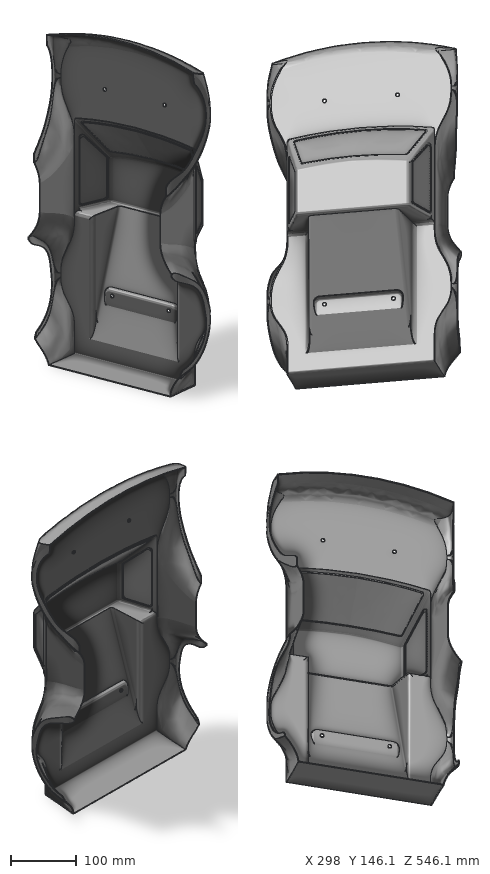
import cadquery as cq
import math

wall = 1.6
length = 546.1
overall_width = 297.91
roof_height = 57.15
sill_depth = 88.9
nose_depth = 38.1
tail_depth = 64.5
tail_edge_radius = 3.0
body_half_width = 115.9
lip_half_width = overall_width / 2
lip_top_depth = 9.0
deck_lip_half_width = 142.0
rear_lip_slope = 0.145
front_lip_slope = 0.28
hole_diameter = 5.71

body_stations = [
    (0.0, 46, 120, 126, 219, 348, 444, 450),
    (lip_top_depth, 14, 98, 140, 226, 335, 428, 468),
    (18.4, 9, 74, 163, 231, 327, 401, 496),
    (nose_depth, 1, 52, 186, 239, 316, 371, 522),
    (62.0, -7, 42, 201, 247, 307, 350, 542),
    (sill_depth, -16, 34, 211, 257, 303, 335, 558),
]
nose_radius = 480.0
nose_edge = (0.0, 517.0)
nose_shoulder = (-4.4, 531.0)
nose_crease = (-18.4, 540.5)
nose_lip = (-nose_depth, length)
nose_reach = 6.0
nose_corner_width = 17.0
nose_corner_rise = 52.0
below_tail = -30.0
above_nose = 610.0

front_arch = [(-85, 353.6), (-58.7, 368.4), (-35.6, 393.1), (-17.5, 429.3),
              (-15, 449), (-21.7, 483.6), (-36.5, 506.6)]
front_arch_tip = 349.0
front_arch_end = [(-nose_depth, 516.5), (-nose_depth, 2 * length)]
rear_arch = [(-85, 202.5), (-50.4, 184.2), (-30, 167.7), (-18.1, 134.8), (-15.2, 110),
             (-19.9, 87.3), (-40.9, 60.8), (-64.8, 48.9)]
rear_arch_tip = 207.5
rear_arch_end = [(-69.4, 43.0), (-69.4, 32.0), (-tail_depth, 0), (-tail_depth, -wall)]

cab_ledge = 0.5
cab_base = (body_half_width - cab_ledge, 231.0, 384.0, 394.0)
cab_roof = (88.0, 235.0, 310.0, 318.0)
cab_edge_radius = 6.0

window_depth = 1.5
window_corner = 4.0
side_window_corners = [(7, 242), (7, 358), (48, 311), (48, 245)]
screen_bottom = (82.0, 324.5)
screen_bottom_centre = 329.0
screen_top = (104.0, 379.0)
screen_top_centre = 388.0

hood_half_width = 81.0
hood_top_half_width = 70.0
hood_start = 31.0
hood_end = 240.0
hood_rise = 0.261
hood_edge_radius = 6.0
foot_reach = 7.0

pad_half_width = 69.0
pad_start = 86.3
pad_end = 113.5
pad_corner = 9.0
pad_floor_radius = 4.0
pad_hole_x = 54.0
pad_hole_z = 103.6
deck_hole_x = 57.15
deck_hole_z = 443.0


def between(start, end, share):
    return tuple(p + share * (q - p) for p, q in zip(start, end))


def flare_curve(door, lip, at_deck):
    """Control points of the curve that leaves the door upright and runs out to the wheel arch lip."""
    middle_z = (door[1] + lip[1]) / 2
    door_pull = (door[0], middle_z)
    if at_deck:
        return [door, door_pull, (lip[0], middle_z), lip]
    return [door, between(door, door_pull, 2 / 3), between(lip, door_pull, 2 / 3), lip]


def body_section(station, inset):
    """Closed half outline (x >= 0) of the body at one depth, moved in by inset."""
    depth = station[0]
    rear_start, rear_lip_start, rear_lip_end, rear_end = station[1:5]
    front_start, front_lip_start, front_lip_end = station[5:]
    at_deck = depth == 0
    y = -inset if at_deck else -depth
    door = body_half_width - inset
    drop = depth - lip_top_depth
    rear_lip = (deck_lip_half_width if at_deck else lip_half_width - rear_lip_slope * drop) - inset
    front_lip = (deck_lip_half_width if at_deck else lip_half_width - front_lip_slope * drop) - inset
    rear_out = flare_curve((door, rear_start), (rear_lip, rear_lip_start), at_deck)
    rear_back = flare_curve((door, rear_end), (rear_lip, rear_lip_end), at_deck)
    front_out = flare_curve((door, front_start), (front_lip, front_lip_start), at_deck)
    corner = (front_lip - nose_corner_width, front_lip_end + nose_corner_rise)
    corner_pull = (front_lip, front_lip_end + nose_corner_rise / 2)
    return (
        cq.Workplane("XZ", origin=(0, y, 0))
        .moveTo(0, below_tail)
        .lineTo(door, below_tail)
        .lineTo(*rear_out[0])
        .bezier(rear_out[1:], includeCurrent=True)
        .lineTo(*rear_back[-1])
        .bezier(rear_back[-2::-1], includeCurrent=True)
        .lineTo(*front_out[0])
        .bezier(front_out[1:], includeCurrent=True)
        .lineTo(front_lip, front_lip_end)
        .bezier([corner_pull, corner], includeCurrent=True)
        .lineTo(0, above_nose)
        .close()
        .wire()
        .val()
    )


def nose_cap(inset):
    """Everything behind the curved nose."""
    edge, shoulder, crease, lip = [(y - inset, z - inset) for y, z in
                                   (nose_edge, nose_shoulder, nose_crease, nose_lip)]
    low = between(crease, lip, nose_reach)
    axis_z = length - nose_radius
    return (
        cq.Workplane("YZ")
        .moveTo(sill_depth, axis_z)
        .lineTo(sill_depth, edge[1])
        .lineTo(*edge)
        .spline([shoulder, crease], includeCurrent=True)
        .lineTo(*low)
        .lineTo(low[0], axis_z)
        .close()
        .revolve(360, (0, axis_z), (1, axis_z))
    )


def both_sides(half):
    return half.union(half.mirror("YZ"))


def below_deck(inset):
    """Level just under the deck plane, so that cab and hood overlap the body."""
    return -inset - wall / 2


def body_solid(inset):
    """Wings, doors, nose and tail below the deck."""
    sections = [body_section(station, inset) for station in body_stations]
    half = cq.Workplane(cq.Solid.makeLoft(sections, False))
    above_tail = (
        cq.Workplane("XY", origin=(0, 0, inset)).rect(2 * overall_width, 4 * sill_depth).extrude(2 * length)
    )
    body = both_sides(half.intersect(above_tail).intersect(nose_cap(inset)))
    return body.faces(">Y").edges("<Z").fillet(tail_edge_radius - inset)


def cab_walls(y, inset):
    """Side x, rear z, windscreen side z and centre z at height y; the walls lean straight to the roof."""
    lean = [(top - bottom) / roof_height for bottom, top in zip(cab_base, cab_roof)]
    into_cab = (-1, 1, -1, -1)
    return [
        bottom + slope * y + sign * inset * math.hypot(1, slope)
        for bottom, slope, sign in zip(cab_base, lean, into_cab)
    ]


def cab_section(y, inset):
    """Half outline (x >= 0) of the cab at height y."""
    side, rear, screen_side, screen_centre = cab_walls(y, inset)
    bow = screen_centre - screen_side
    return (
        cq.Workplane("XZ", origin=(0, y, 0))
        .moveTo(0, rear)
        .lineTo(side, rear)
        .lineTo(side, screen_side)
        .threePointArc((side / 2, screen_centre - bow / 4), (0, screen_centre))
        .close()
        .wire()
        .val()
    )


def is_cab_corner(edge, foot):
    """True for the roof outline and the four leaning corners, not for the foot or a centre seam."""
    lowest, highest = edge.BoundingBox().ymin, edge.BoundingBox().ymax
    at_foot = highest < foot + wall
    on_centre_line = abs(edge.Center().x) < wall and highest - lowest > wall
    return not (at_foot or on_centre_line)


def plain_cab(inset):
    """Cab with rounded corners, without its windows."""
    foot = below_deck(inset)
    sections = [cab_section(foot, inset), cab_section(roof_height - inset, inset)]
    cab = both_sides(cq.Workplane(cq.Solid.makeLoft(sections, True)))
    corner_edges = cab.edges().filter(lambda edge: is_cab_corner(edge, foot))
    return corner_edges.fillet(cab_edge_radius - inset)


def window_tools(margin):
    """Straight-walled plugs over the windscreen and through both side windows."""
    side_window = (
        cq.Workplane("YZ")
        .polyline(side_window_corners)
        .close()
        .offset2D(margin - window_corner)
        .offset2D(window_corner)
        .extrude(overall_width, both=True)
    )
    (bottom_x, bottom_z), bottom_centre = screen_bottom, (0, screen_bottom_centre)
    (top_x, top_z), top_centre = screen_top, (0, screen_top_centre)
    screen = (
        cq.Workplane("XZ", origin=(0, window_depth, 0))
        .moveTo(-bottom_x, bottom_z)
        .threePointArc(bottom_centre, screen_bottom)
        .lineTo(*screen_top)
        .threePointArc(top_centre, (-top_x, top_z))
        .close()
        .offset2D(margin - window_corner)
        .offset2D(window_corner)
        .extrude(-2 * roof_height)
    )
    return [side_window, screen]


def rear_foot(inset):
    """Hollow curve between the deck and the foot of the cab's rear wall, ending flush with the cab sides."""
    deck = -inset
    foot_top = deck + foot_reach
    side_at_deck, rear_at_deck = cab_walls(deck, inset)[:2]
    side_at_top, rear_at_top = cab_walls(foot_top, inset)[:2]
    inside = rear_at_deck + 2 * foot_reach
    below = deck - wall
    strip = (
        cq.Workplane("YZ")
        .moveTo(below, rear_at_deck - foot_reach)
        .lineTo(deck, rear_at_deck - foot_reach)
        .bezier([(deck, rear_at_deck), (foot_top, rear_at_top)], includeCurrent=True)
        .lineTo(foot_top, inside)
        .lineTo(below, inside)
        .close()
        .extrude(body_half_width, both=True)
    )
    sides = (
        cq.Workplane("XY")
        .polyline([(side_at_deck, below), (side_at_deck, deck), (side_at_top, foot_top)])
        .lineTo(-side_at_top, foot_top)
        .lineTo(-side_at_deck, deck)
        .lineTo(-side_at_deck, below)
        .close()
        .extrude(length)
    )
    return strip.intersect(sides)


def cab_solid(inset):
    """Cab with its windows set in by window_depth."""
    cab = plain_cab(inset).union(rear_foot(inset))
    behind_windows = plain_cab(inset + window_depth)
    for tool in window_tools(inset):
        cab = cab.cut(tool.cut(behind_windows))
    return cab


def pad_notch(inset):
    """Space above the level pad, open towards the tail, where the hood slope falls below it."""
    pad_level = hood_rise * (pad_start - hood_start) - inset
    notch_end = pad_end + inset
    return (
        cq.Workplane("XZ", origin=(0, pad_level, 0))
        .center(0, (hood_start + notch_end) / 2)
        .rect(2 * (pad_half_width + inset), notch_end - hood_start)
        .extrude(-roof_height)
        .edges("|Y and >Z")
        .fillet(pad_corner + inset)
        .faces("<Y")
        .edges()
        .fillet(pad_floor_radius + inset)
    )


def hood_solid(inset):
    """Wedge with leaning sides and hollow feet along the deck; the pad is notched into it."""
    foot = below_deck(inset)
    top = hood_rise * (hood_end - hood_start)
    lean = (hood_half_width - hood_top_half_width) / top
    side = hood_half_width - inset * math.hypot(1, lean)
    start = hood_start + inset * math.hypot(1, 1 / hood_rise)
    tail_end = start + foot / hood_rise
    wedge_top = hood_rise * (hood_end - start)
    wedge = (
        cq.Workplane("YZ")
        .polyline([(foot, tail_end), (foot, hood_end), (wedge_top, hood_end)])
        .close()
        .extrude(body_half_width, both=True)
    )
    low = side - lean * foot
    high = side - lean * top
    trapezoid = (
        cq.Workplane("XY")
        .polyline([(-low, foot), (low, foot), (high, top), (-high, top)])
        .close()
        .extrude(length)
    )
    hood = wedge.intersect(trapezoid)
    slope = hood.faces(cq.selectors.DirectionMinMaxSelector(cq.Vector(0, 1, -hood_rise)))
    rounded = slope.edges("not |X").fillet(hood_edge_radius - inset)
    deck = -inset
    foot_top = deck + foot_reach
    half_foot = (
        cq.Workplane("XY")
        .moveTo(0, foot)
        .lineTo(side + foot_reach, foot)
        .lineTo(side + foot_reach, deck)
        .bezier([(side - lean * deck, deck), (side - lean * foot_top, foot_top)], includeCurrent=True)
        .lineTo(0, foot_top)
        .close()
        .extrude(length)
    )
    feet = wedge.intersect(both_sides(half_foot))
    return rounded.union(feet).cut(pad_notch(inset))


def arch_cutter(points, tip, far_end):
    """Everything below a wheel arch edge, right across the body."""
    under = -2 * sill_depth
    profile = cq.Workplane("YZ").moveTo(under, tip).lineTo(-sill_depth, tip)
    profile = profile.spline(points, includeCurrent=True)
    for point in far_end:
        profile = profile.lineTo(*point)
    return profile.lineTo(under, far_end[-1][1]).close().extrude(overall_width, both=True)


def hole(x, z):
    return (
        cq.Workplane("XZ", origin=(0, roof_height, 0))
        .center(x, z)
        .circle(hole_diameter / 2)
        .extrude(roof_height + sill_depth)
    )


def filled_body(inset):
    return body_solid(inset).union(cab_solid(inset)).union(hood_solid(inset))


shell = filled_body(0).cut(filled_body(wall))
shell = shell.cut(arch_cutter(front_arch, front_arch_tip, front_arch_end))
shell = shell.cut(arch_cutter(rear_arch, rear_arch_tip, rear_arch_end))
for side in (-1, 1):
    shell = shell.cut(hole(side * deck_hole_x, deck_hole_z))
    shell = shell.cut(hole(side * pad_hole_x, pad_hole_z))

result = shell